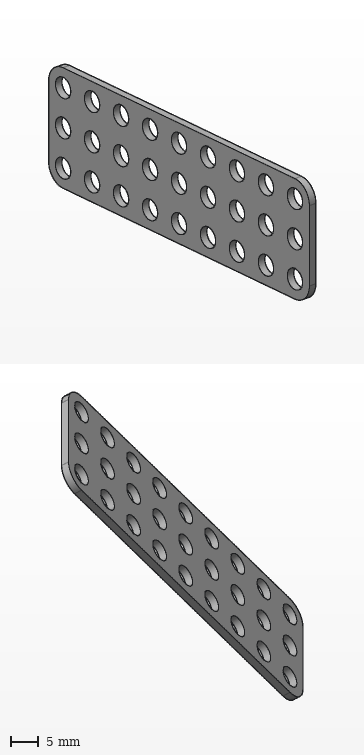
import cadquery as cq

length = 72.0
columns = 9
rows = 3
thickness = 1.6
hole_diameter = 4.2

pitch = length / columns
height = rows * pitch
corner_radius = pitch / 2

plate = cq.Workplane("XY").box(length, thickness, height).edges("|Y").fillet(corner_radius)

result = (
    plate.faces("<Y")
    .workplane(centerOption="CenterOfBoundBox")
    .rarray(pitch, pitch, columns, rows)
    .hole(hole_diameter)
)